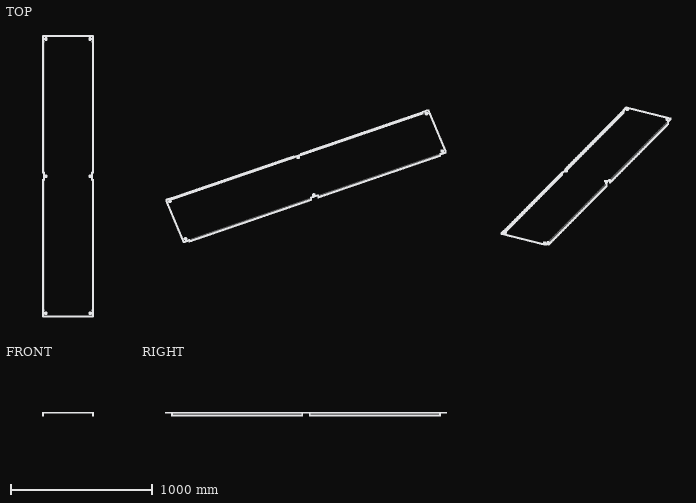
import cadquery as cq

length = 1981.0
width = 355.0
height = 22.0
thickness = 2.0
bend_radius = 5.0
end_relief = 44.0
middle_gap = 52.0
notch_depth = 8.0
corner_radius = 5.0
hole_diameter = 12.7
hole_spacing_x = 313.0
hole_spacing_y = 1935.0

flange_length = (length - middle_gap) / 2 - end_relief
flange_center_y = (middle_gap + flange_length) / 2


def rounded_block(block_width, block_height, radius):
    """Block one flange long, top at Z = 0, with rounded upper long edges."""
    block = cq.Workplane("XY").box(
        block_width, flange_length, block_height, centered=(True, True, False)
    )
    return block.translate((0, 0, -block_height)).edges("|Y and >Z").fillet(radius)


def flanged_section():
    """Sheet bent down along both long sides."""
    outer = rounded_block(width, height, bend_radius)
    inner = rounded_block(width - 2 * thickness, height - thickness, bend_radius - thickness)
    return outer.cut(inner.translate((0, 0, -thickness)))


def flat_sheet(sheet_width, sheet_length, center_y):
    """Flat piece of sheet with its top face at Z = 0."""
    return cq.Workplane("XY").center(0, center_y).rect(sheet_width, sheet_length).extrude(-thickness)


def end_tab(side):
    """Flat tab at the +Y (side = 1) or -Y (side = -1) end with rounded outer corners."""
    tab = flat_sheet(width, end_relief, side * (length - end_relief) / 2)
    outer_corners = "|Z and >Y" if side > 0 else "|Z and <Y"
    return tab.edges(outer_corners).fillet(corner_radius)


result = flat_sheet(width - 2 * notch_depth, middle_gap, 0)

for side in (-1, 1):
    result = result.union(flanged_section().translate((0, side * flange_center_y, 0)))
    result = result.union(end_tab(side))

hole_cutter = (
    cq.Workplane("XY")
    .rarray(hole_spacing_x, hole_spacing_y / 2, 2, 3)
    .circle(hole_diameter / 2)
    .extrude(-thickness)
)
result = result.cut(hole_cutter)